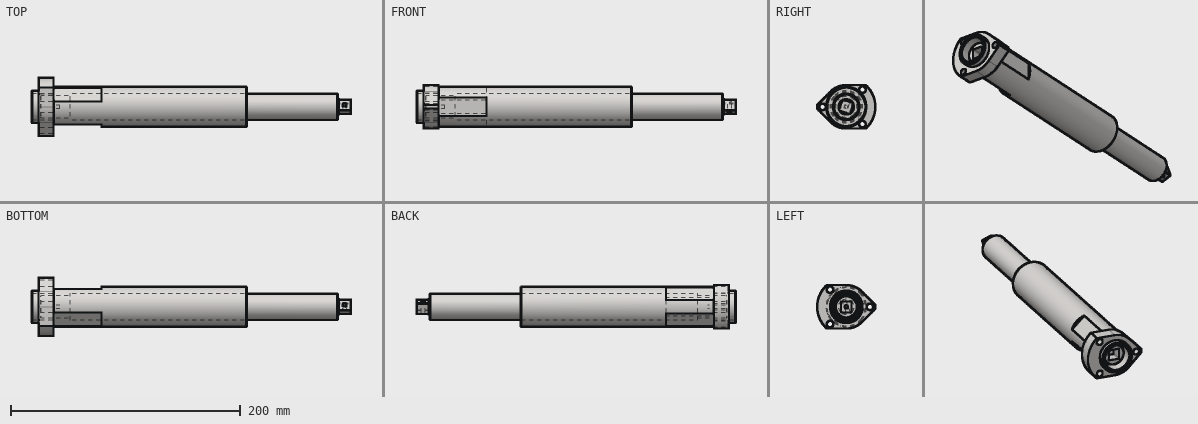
import cadquery as cq
import math

total_length = 277.8

boss_length = 6.0
boss_radius = 14.2
boss_chamfer = 0.8
flange_end = 19.2
flange_radius = 50.8 / 2
flange_half_height = 38.0 / 2
nose_turn = math.radians(45)

screw_radius = 2.8
screw_circle_radius = 20.5
screw_spread = 46.7
screw_angles = [180, screw_spread, -screw_spread]
flat_distance = 15.5
flat_end = 60.8

barrel_radius = 17.5
barrel_end = 187.2
barrel_end_chamfer = 0.8
barrel_start_chamfer = 0.5

bore_radius = 11.7
bore_chamfer = 0.8

hub_radius = 9.7
hub_chamfer = 0.5
hub_start = 7.8
hub_end = 33.3
socket_side = 9.5
socket_corner = 0.5
socket_depth = 11.0
centre_hole_radius = 1.5
centre_hole_depth = 5.5

shaft_radius = 23.0 / 2
shaft_end = 266.5
shaft_chamfer = 0.8
collar_radius = 6.7
collar_length = 1.0
drive_side = 10.3
drive_chamfer = 0.5
drive_turn = 20.0
detent_radius = 1.7
detent_place = 272.2


def rod(radius, start, end):
    """A cylinder on the X axis."""
    return cq.Workplane("YZ", origin=(start, 0, 0)).circle(radius).extrude(end - start)


def make_flange_plate():
    """A round plate cut level at top and bottom, and drawn out to a nose on -Y."""
    h = flange_half_height
    tangent_y = -h * math.cos(nose_turn)
    tangent_z = h * math.sin(nose_turn)
    middle_y = -h * math.sin(nose_turn / 2)
    middle_z = h * math.cos(nose_turn / 2)
    nose_y = -h / math.cos(nose_turn)
    thickness = flange_end - boss_length
    outline = (
        cq.Workplane("YZ", origin=(boss_length, 0, 0))
        .moveTo(flange_radius, -h)
        .lineTo(flange_radius, h)
        .lineTo(0, h)
        .threePointArc((middle_y, middle_z), (tangent_y, tangent_z))
        .lineTo(nose_y, 0)
        .lineTo(tangent_y, -tangent_z)
        .threePointArc((middle_y, -middle_z), (0, -h))
        .close()
        .extrude(thickness)
    )
    return outline.intersect(rod(flange_radius, boss_length, flange_end))


def make_screw_hole(angle):
    hole = rod(screw_radius, boss_length, flange_end).translate((0, screw_circle_radius, 0))
    return hole.rotate((0, 0, 0), (1, 0, 0), angle)


def make_flat_cutter(angle):
    length = flat_end - flange_end
    cutter = cq.Workplane("XY").box(length, barrel_radius, 2 * barrel_radius, centered=(False, False, True))
    return cutter.translate((flange_end, flat_distance, 0)).rotate((0, 0, 0), (1, 0, 0), angle)


def make_flange():
    boss = rod(boss_radius, 0, boss_length).faces("<X").chamfer(boss_chamfer)
    flange = make_flange_plate().union(boss)
    for angle in screw_angles:
        flange = flange.cut(make_screw_hole(angle))
    flange = flange.cut(rod(bore_radius, 0, flange_end))
    mouth_edge = flange.faces("<X").edges(cq.selectors.RadiusNthSelector(0))
    return mouth_edge.chamfer(bore_chamfer)


def make_barrel():
    barrel = rod(barrel_radius, flange_end, barrel_end)
    barrel = barrel.faces("<X").chamfer(barrel_start_chamfer)
    barrel = barrel.faces(">X").chamfer(barrel_end_chamfer)
    for angle in screw_angles:
        barrel = barrel.cut(make_flat_cutter(angle))
    hub_seat = rod(hub_radius, flange_end, hub_end)
    shaft_bore = rod(shaft_radius, hub_end, barrel_end)
    return barrel.cut(hub_seat).cut(shaft_bore)


def make_hub():
    hub = rod(hub_radius, hub_start, hub_end).faces("<X").chamfer(hub_chamfer)
    socket_floor = hub_start + socket_depth
    socket = (
        cq.Workplane("YZ", origin=(hub_start, 0, 0))
        .rect(socket_side, socket_side)
        .extrude(socket_depth)
        .edges("|X")
        .fillet(socket_corner)
    )
    centre_hole = rod(centre_hole_radius, socket_floor, socket_floor + centre_hole_depth)
    return hub.cut(socket).cut(centre_hole)


def make_output_shaft():
    shaft = rod(shaft_radius, hub_end, shaft_end).faces(">X").chamfer(shaft_chamfer)
    collar = rod(collar_radius, shaft_end, shaft_end + collar_length)
    drive_start = shaft_end + collar_length
    drive = (
        cq.Workplane("YZ", origin=(drive_start, 0, 0))
        .rect(drive_side, drive_side)
        .extrude(total_length - drive_start)
        .edges("|X")
        .chamfer(drive_chamfer)
    )
    detent = (
        cq.Workplane("XY", origin=(detent_place, 0, -drive_side / 2))
        .circle(detent_radius)
        .extrude(drive_side)
    )
    return shaft.union(collar).union(drive).cut(detent).rotate((0, 0, 0), (1, 0, 0), -drive_turn)


flange = make_flange()
barrel = make_barrel()
hub = make_hub()
output_shaft = make_output_shaft()
result = cq.Compound.makeCompound([flange.val(), barrel.val(), hub.val(), output_shaft.val()])